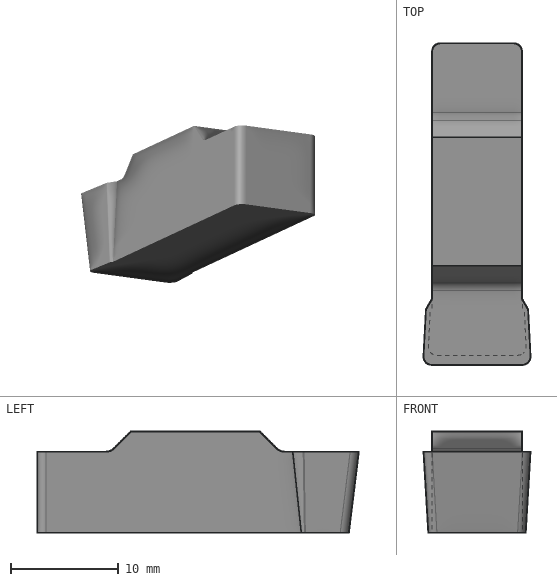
import cadquery as cq
import math

length = 30.0
head_width = 10.0
shank_width = 8.4
deck_height = 7.58
overall_height = 9.46

rib_top_start = 9.25
rib_top_length = 12.0
rib_slope_angle = 45.0
rib_foot_radius = 1.0

corner_radius = 0.8
side_plan_angle = 3.0
shoulder_plan_angle = 30.0
shoulder_end = 6.17
shoulder_radius = 0.2
front_relief_angle = 7.0
side_relief_angle = 3.0

shank_half = shank_width / 2
corner_center = (head_width / 2 - corner_radius, corner_radius)
rib_run = (overall_height - deck_height) / math.tan(math.radians(rib_slope_angle))


def reach(point, plan_angle):
    """Distance from the origin to the upright wall at plan_angle that passes through point."""
    angle = math.radians(plan_angle)
    return point[0] * math.cos(angle) + point[1] * math.sin(angle)


side_reach = reach(corner_center, side_plan_angle) + corner_radius
shoulder_reach = reach((shank_half, shoulder_end), shoulder_plan_angle)


def head_corners(depth):
    """Right-hand corners of the head, depth below the deck: front, shoulder, tip inside the shank."""
    front_y = depth * math.tan(math.radians(front_relief_angle))
    inset = depth * math.tan(math.radians(side_relief_angle))
    side = math.radians(side_plan_angle)
    shoulder = math.radians(shoulder_plan_angle)
    side_wall = side_reach - inset
    shoulder_wall = shoulder_reach - inset

    front_x = (side_wall - front_y * math.sin(side)) / math.cos(side)
    turn = math.sin(shoulder - side)
    shoulder_x = (side_wall * math.sin(shoulder) - shoulder_wall * math.sin(side)) / turn
    shoulder_y = (shoulder_wall * math.cos(side) - side_wall * math.cos(shoulder)) / turn
    tip_y = shoulder_wall / math.sin(shoulder)
    return [(front_x, front_y), (shoulder_x, shoulder_y), (0, tip_y)]


def head_outline(depth):
    """Closed symmetric outline of the head, depth below the deck."""
    right = head_corners(depth)
    left = [(-x, y) for x, y in reversed(right[:-1])]
    return right + left


def edges_between(upper, lower):
    """Selector for the sloping edges that join upper to lower on both sides of the head."""
    middle_x = (upper[0] + lower[0]) / 2
    middle_y = (upper[1] + lower[1]) / 2
    points = [(sign * middle_x, middle_y, deck_height / 2) for sign in (-1, 1)]
    return cq.selectors.NearestToPointSelector(points[0]) + cq.selectors.NearestToPointSelector(points[1])


def make_head():
    """Relieved cutting head that narrows downward and runs back into the shank."""
    top = [cq.Vector(x, y, deck_height) for x, y in head_outline(0)]
    bottom = [cq.Vector(x, y, 0) for x, y in head_outline(deck_height)]
    loops = [top, bottom]
    for i in range(len(top)):
        loops.append([bottom[i - 1], bottom[i], top[i], top[i - 1]])
    faces = [cq.Face.makeFromWires(cq.Wire.makePolygon(loop, close=True)) for loop in loops]
    head = cq.Workplane(cq.Solid.makeSolid(cq.Shell.makeShell(faces)))
    top_front, top_shoulder, _ = head_corners(0)
    low_front, low_shoulder, _ = head_corners(deck_height)
    head = head.edges(edges_between(top_shoulder, low_shoulder)).fillet(shoulder_radius)
    return head.edges(edges_between(top_front, low_front)).fillet(corner_radius)


def make_shank():
    """Straight bar with the raised rib, starting inside the head."""
    shank_start = head_corners(0)[1][1]
    rib_start = rib_top_start - rib_run
    rib_top_end = rib_top_start + rib_top_length
    rib_end = rib_top_end + rib_run
    profile = [
        (shank_start, 0),
        (length, 0),
        (length, deck_height),
        (rib_end, deck_height),
        (rib_top_end, overall_height),
        (rib_top_start, overall_height),
        (rib_start, deck_height),
        (shank_start, deck_height),
    ]
    shank = cq.Workplane("YZ").polyline(profile).close().extrude(shank_half, both=True)
    for foot_y in (rib_start, rib_end):
        foot = cq.selectors.NearestToPointSelector((0, foot_y, deck_height))
        shank = shank.edges(foot).fillet(rib_foot_radius)
    return shank.edges("|Z and >Y").fillet(corner_radius)


result = make_shank().union(make_head()).clean()